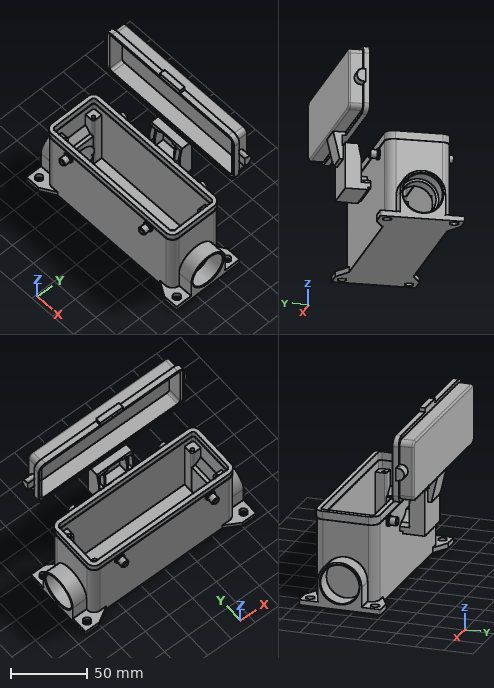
import cadquery as cq
body_length = 121.5
body_width = 43.9
body_height = 63.0
body_corner_radius = 6.0
wall = 3.7
floor_thickness = 3.7
cavity_corner_radius = 2.0
rim_height = 5.8
rim_step = 0.3
joint_overlap = 1.2

overall_length = 144.0
foot_span = 56.7
foot_thickness = 3.7
foot_straight_x = 60.5
foot_taper_x = 49.0
foot_corner_radius = 0.7
foot_hole_diameter = 5.8
foot_hole_x = 66.0
foot_hole_y = 22.5

entry_height = 17.7
entry_radius = 15.3
entry_bore_radius = 13.4
entry_bore_depth = 12.0
entry_passage_radius = 11.7
entry_mouth_chamfer = 0.6

post_size = 7.5
post_top = 51.4
post_corner_radius = 1.5
post_hole_diameter = 2.6
post_hole_depth = 8.6
post_hole_inset = 5.0
block_top = 34.8
ramp_run = 4.6
ramp_rise = 5.2

peg_x = 38.2
peg_height = 53.4
peg_radius = 2.9
peg_base_radius = 3.7
peg_base_length = 1.3
peg_chamfer = 0.6

lid_back = 47.0
lid_depth = 14.0
lid_center_height = 97.6
lid_shell_length = 119.2
lid_shell_height = 41.8
lid_shell_radius = 3.7
lid_back_fillet = 1.3
flange_length = 123.5
flange_height = 46.4
flange_thickness = 4.3
flange_radius = 6.0
lip_width = 1.0
lip_depth = 0.9
lid_cavity_length = 116.8
lid_cavity_height = 39.2
lid_cavity_depth = 11.8
lid_cavity_radius = 2.2
tab_length = 19.3
tab_top = 123.7
ear_span = 134.5
ear_radius = 4.3
ear_straight = 1.5
arm_width = 18.1
arm_bottom = 58.2
arm_tip_back = 41.3
arm_front = 39.5

hinge_width = 30.0
hinge_top = 67.7
hinge_bottom = 36.3
hinge_back = 38.9
hinge_front = 28.1
hinge_front_top = 30.0
hinge_slope_start = 58.2
hinge_lip_front = 23.6
hinge_lip_top = 37.9
window_width = 12.4
window_top = 66.5
window_shoulder_width = 17.5
window_shoulder_top = 65.1
window_depth = 7.2
side_pocket_width = 3.7
side_pocket_top = 64.7
side_pocket_depth = 4.3
hinge_side_wall = 1.2
bracket_crest_half = 2.9
bracket_crest_height = 49.1
bracket_knee_x = 12.5
bracket_knee_height = 43.3
bracket_edge_height = 41.0
bracket_arc_x = 7.2
bracket_arc_height = 45.0

body_end = body_length / 2
body_side = body_width / 2
cavity_end = body_end - wall
cavity_side = body_side - wall
rim_bottom = body_height - rim_height
lid_front = lid_back - lid_depth
flange_back = lid_front + flange_thickness


def box(x_range, y_range, z_range):
    """Block filling the given ranges."""
    size = [high - low for low, high in (x_range, y_range, z_range)]
    corner = (x_range[0], y_range[0], z_range[0])
    return cq.Workplane("XY").box(*size, centered=False).translate(corner)


def upright_block(length, width, bottom, top, radius):
    """Centred block with rounded vertical edges."""
    block = cq.Workplane("XY").workplane(offset=bottom).rect(length, width).extrude(top - bottom)
    return block.edges("|Z").fillet(radius)


def lid_layer(length, height, front, back, radius):
    """Rounded rectangle standing in the lid's plane, between two Y positions."""
    layer = cq.Workplane("XZ", origin=(0, front, lid_center_height)).rect(length, height)
    return layer.extrude(front - back).edges("|Y").fillet(radius)


def x_cylinder(radius, start, end):
    """Cylinder on the cable-entry axis."""
    return cq.Workplane("YZ", origin=(start, 0, entry_height)).circle(radius).extrude(end - start)


def both_ends(shape):
    return shape.union(shape.mirror("YZ"))


def make_shell():
    lower = upright_block(
        body_length - 2 * rim_step, body_width - 2 * rim_step, 0, rim_bottom, body_corner_radius
    )
    rim = upright_block(body_length, body_width, rim_bottom, body_height, body_corner_radius)
    return lower.union(rim)


def make_foot():
    """Foot plate under the -X end."""
    half_span = foot_span / 2
    outline = [
        (-foot_taper_x, body_side - rim_step),
        (-foot_straight_x, half_span),
        (-overall_length / 2, half_span),
        (-overall_length / 2, -half_span),
        (-foot_straight_x, -half_span),
        (-foot_taper_x, -body_side + rim_step),
    ]
    foot = cq.Workplane("XY").polyline(outline).close().extrude(foot_thickness)
    foot = foot.edges("|Z and <X").fillet(foot_corner_radius)
    holes = cq.Workplane("XY").pushPoints([(-foot_hole_x, foot_hole_y), (-foot_hole_x, -foot_hole_y)])
    return foot.cut(holes.circle(foot_hole_diameter / 2).extrude(foot_thickness))


def make_entry():
    """Round-topped collar at the -X end."""
    collar = x_cylinder(entry_radius, -overall_length / 2, -cavity_end)
    pedestal = box((-overall_length / 2, -cavity_end), (-entry_radius, entry_radius), (0, entry_height))
    return collar.union(pedestal)


def make_entry_bore():
    """Blind bore in the -X collar with a chamfered mouth."""
    mouth = -overall_length / 2
    bore = x_cylinder(entry_bore_radius, mouth, mouth + entry_bore_depth)
    flare = cq.Workplane("YZ", origin=(mouth, 0, entry_height))
    flare = flare.circle(entry_bore_radius + entry_mouth_chamfer).extrude(entry_mouth_chamfer, taper=45)
    return bore.union(flare)


def make_post(side):
    """Screw post in a cavity corner at the -X end; side is +1 or -1 along Y."""
    inner_y = side * (cavity_side - post_size)
    y_range = sorted((inner_y, side * (cavity_side + joint_overlap)))
    x_range = (-cavity_end - joint_overlap, -cavity_end + post_size)
    post = box(x_range, y_range, (floor_thickness, post_top))
    post = post.edges("|Z and >X and " + ("<Y" if side > 0 else ">Y")).fillet(post_corner_radius)
    hole_center = (-cavity_end + post_hole_inset, side * (cavity_side - post_hole_inset))
    hole = cq.Workplane("XY").workplane(offset=post_top).center(*hole_center)
    return post.cut(hole.circle(post_hole_diameter / 2).extrude(-post_hole_depth))


def make_end_block():
    """Thickened end wall between the posts, with a ramp up to the wall."""
    inner_end = -cavity_end + post_size
    profile = [
        (-cavity_end - joint_overlap, floor_thickness),
        (inner_end, floor_thickness),
        (inner_end, block_top),
        (-cavity_end + ramp_run, block_top),
        (-cavity_end, block_top + ramp_rise),
        (-cavity_end - joint_overlap, block_top + ramp_rise),
    ]
    half_width = cavity_side - post_size
    return cq.Workplane("XZ").polyline(profile).close().extrude(half_width, both=True)


def make_peg(x):
    """Locking peg on the -Y side."""
    length = foot_span / 2 - body_side
    start = -body_side + wall / 2
    base = cq.Workplane("XZ", origin=(x, start, peg_height)).circle(peg_base_radius)
    base = base.extrude(wall / 2 + peg_base_length).faces("<Y").chamfer(peg_base_length / 2)
    pin = cq.Workplane("XZ", origin=(x, start, peg_height)).circle(peg_radius)
    pin = pin.extrude(wall / 2 + length).faces("<Y").chamfer(peg_chamfer)
    return base.union(pin)


def make_housing():
    housing = make_shell().union(both_ends(make_foot())).union(both_ends(make_entry()))
    cavity = upright_block(
        2 * cavity_end, 2 * cavity_side, floor_thickness, body_height, cavity_corner_radius
    )
    rim_cavity = upright_block(
        2 * (cavity_end + rim_step),
        2 * (cavity_side + rim_step),
        rim_bottom,
        body_height,
        cavity_corner_radius,
    )
    housing = housing.cut(cavity).cut(rim_cavity)
    for side in (1, -1):
        housing = housing.union(both_ends(make_post(side)))
    housing = housing.union(both_ends(make_end_block()))
    for x in (-peg_x, peg_x):
        peg = make_peg(x)
        housing = housing.union(peg).union(peg.mirror("XZ"))
    housing = housing.cut(both_ends(make_entry_bore()))
    passage = x_cylinder(entry_passage_radius, -overall_length / 2, -cavity_end + post_size)
    return housing.cut(passage)


def make_lid():
    shell = lid_layer(lid_shell_length, lid_shell_height, lid_front, lid_back, lid_shell_radius)
    shell = shell.faces(">Y").edges().fillet(lid_back_fillet)
    flange = lid_layer(flange_length, flange_height, lid_front, flange_back, flange_radius)
    tab = box(
        (-tab_length / 2, tab_length / 2), (lid_front, flange_back), (lid_center_height, tab_top)
    )
    ear = (
        cq.Workplane("YZ")
        .moveTo(flange_back, lid_center_height - ear_radius)
        .line(ear_straight, 0)
        .threePointArc(
            (flange_back + ear_straight + ear_radius, lid_center_height),
            (flange_back + ear_straight, lid_center_height + ear_radius),
        )
        .line(-ear_straight, 0)
        .close()
        .extrude(ear_span / 2, both=True)
    )
    cavity = lid_layer(
        lid_cavity_length, lid_cavity_height, lid_front, lid_front + lid_cavity_depth, lid_cavity_radius
    )
    recess = lid_layer(
        flange_length - 2 * lip_width,
        flange_height - 2 * lip_width,
        lid_front,
        lid_front + lip_depth,
        flange_radius - lip_width,
    )
    return shell.union(flange).union(tab).union(ear).cut(cavity).cut(recess)


def make_arm():
    """Tapered arm from the lid's lower edge down into the hinge block."""
    flange_bottom = lid_center_height - flange_height / 2
    shell_bottom = lid_center_height - lid_shell_height / 2
    profile = [
        (lid_back - lid_back_fillet, shell_bottom),
        (arm_tip_back, arm_bottom),
        (hinge_front_top + window_depth, arm_bottom),
        (hinge_front_top + window_depth, hinge_top),
        (arm_front, hinge_top),
        (arm_front, flange_bottom),
        (flange_back, flange_bottom),
        (flange_back, shell_bottom),
    ]
    return cq.Workplane("YZ").polyline(profile).close().extrude(arm_width / 2, both=True)


def make_hinge():
    profile = [
        (hinge_back, hinge_top),
        (hinge_front_top, hinge_top),
        (hinge_front, hinge_slope_start),
        (hinge_front, hinge_lip_top),
        (hinge_lip_front, hinge_lip_top),
        (hinge_lip_front, hinge_bottom),
        (hinge_back, hinge_bottom),
    ]
    block = cq.Workplane("YZ").polyline(profile).close().extrude(hinge_width / 2, both=True)

    def recess(x_center, width, top, depth):
        x_range = (x_center - width / 2, x_center + width / 2)
        return box(x_range, (hinge_front, hinge_front + depth), (bracket_crest_height, top))

    block = block.cut(recess(0, window_width, window_top, window_depth))
    block = block.cut(recess(0, window_shoulder_width, window_shoulder_top, window_depth))
    pocket_x = hinge_width / 2 - hinge_side_wall - side_pocket_width / 2
    for x in (-pocket_x, pocket_x):
        block = block.cut(recess(x, side_pocket_width, side_pocket_top, side_pocket_depth))
    return block


def make_bracket():
    """Bell-shaped bracket that carries the hinge block on the box wall."""
    edge_x = hinge_width / 2
    profile = (
        cq.Workplane("XZ", origin=(0, hinge_front, 0))
        .moveTo(-edge_x, hinge_lip_top)
        .lineTo(-edge_x, bracket_edge_height)
        .lineTo(-bracket_knee_x, bracket_knee_height)
        .threePointArc(
            (-bracket_arc_x, bracket_arc_height), (-bracket_crest_half, bracket_crest_height)
        )
        .lineTo(bracket_crest_half, bracket_crest_height)
        .threePointArc((bracket_arc_x, bracket_arc_height), (bracket_knee_x, bracket_knee_height))
        .lineTo(edge_x, bracket_edge_height)
        .lineTo(edge_x, hinge_lip_top)
        .close()
    )
    return profile.extrude(hinge_front - body_side + wall / 2)


result = make_housing().union(make_bracket()).union(make_hinge()).union(make_arm()).union(make_lid())